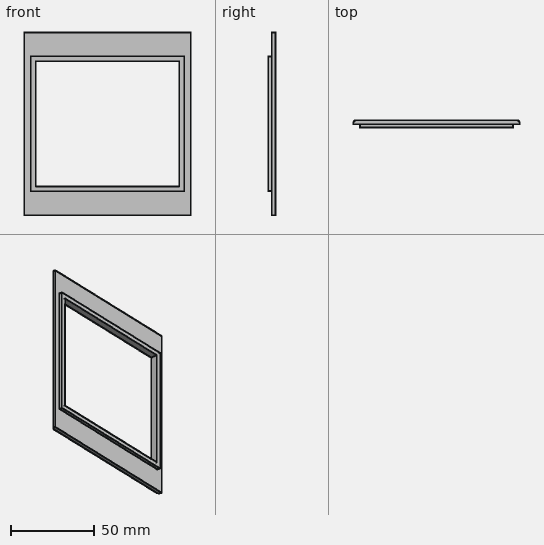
import cadquery as cq

plate_width = 100.0
plate_height = 109.8
plate_thickness = 2.5
side_edge_radius = 2.0

total_depth = 4.5
rim_height = total_depth - plate_thickness
rim_wall = 3.0
window_width = 86.0
window_height = 75.0
rim_outer_width = window_width + 2 * rim_wall
rim_outer_height = window_height + 2 * rim_wall


def upright_block(width, depth, height, front_y):
    """Box centred in X and Z that runs from front_y towards +Y."""
    block = cq.Workplane("XY").box(width, depth, height, centered=(True, False, True))
    return block.translate((0, front_y, 0))


plate = upright_block(plate_width, plate_thickness, plate_height, 0)
plate = plate.faces(">Y").edges("|Z").fillet(side_edge_radius)

rim = upright_block(rim_outer_width, rim_height, rim_outer_height, -rim_height)

window = upright_block(window_width, total_depth, window_height, -rim_height)

result = plate.union(rim).cut(window)